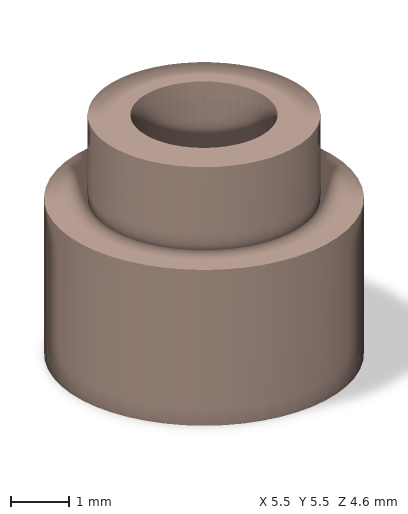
import cadquery as cq

body_diameter = 5.5
body_height = 3.0
collar_diameter = 4.0
collar_height = 1.6
bore_diameter = 2.53


def make_body():
    """Wide lower cylinder standing on the XY plane."""
    return cq.Workplane("XY").circle(body_diameter / 2).extrude(body_height)


def add_collar(part):
    """Narrower cylinder on top of the body."""
    return part.faces(">Z").workplane().circle(collar_diameter / 2).extrude(collar_height)


def cut_bore(part):
    """Plain hole through the collar and the body."""
    return part.faces(">Z").workplane().hole(bore_diameter)


result = cut_bore(add_collar(make_body()))